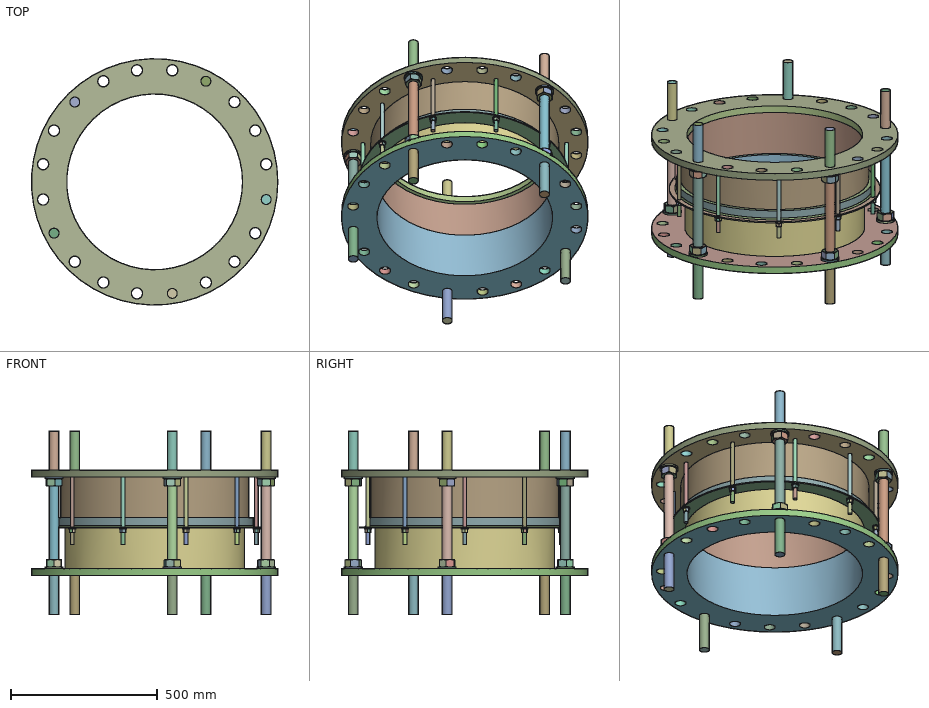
import cadquery as cq
import math


flange_diameter = 840.0
flange_thickness = 23.5
bore_diameter = 598.0
overall_length = 359.5
upper_flange_bottom = overall_length - flange_thickness
bolt_circle_radius = 385.0
bolt_hole_diameter = 37.0
bolt_hole_count = 20
bolt_hole_pitch = 360 / bolt_hole_count
first_bolt_hole_angle = bolt_hole_pitch / 2

lower_sleeve_diameter = 613.0
lower_sleeve_top = 184.0
upper_sleeve_diameter = 642.0
upper_sleeve_bore = 625.0

collar_diameter = 672.0
collar_top = 197.0
collar_bottom = 171.0
cone_diameter = 680.0
gland_diameter = 719.0
gland_top = 166.0
gland_bottom = 162.0

tie_rod_count = 5
first_tie_rod_angle = -first_bolt_hole_angle
tie_rod_diameter = 34.0
tie_rod_length = 625.0
tie_rod_bottom = (overall_length - tie_rod_length) / 2
tie_washer_diameter = 62.0
tie_washer_thickness = 6.0
tie_nut_width = 50.0
tie_nut_height = 25.0
lower_tie_nut_turn = 3.0
upper_tie_nut_turn = 9.0

stud_count = 10
stud_circle_radius = 347.0
stud_diameter = 13.5
stud_bottom = 106.0
stud_washer_diameter = 24.0
stud_washer_thickness = 3.0
stud_nut_width = 18.5
stud_nut_height = 13.0

nut_chamfer_angle = math.radians(30)


def cylinder(diameter, bottom, top):
    """Upright cylinder on the Z axis."""
    return cq.Workplane("XY").workplane(offset=bottom).circle(diameter / 2).extrude(top - bottom)


def place(body, radius, angle):
    """Move a body out along X, then swing it round the Z axis."""
    return body.translate((radius, 0, 0)).rotate((0, 0, 0), (0, 0, 1), angle)


def hex_nut(width, height, bottom, turn):
    """Solid hexagonal nut whose corners are chamfered at both ends."""
    corner_radius = width / math.sqrt(3)
    face_radius = width / 2
    drop = (corner_radius - face_radius) * math.tan(nut_chamfer_angle)
    envelope = (
        cq.Workplane("XZ")
        .moveTo(0, 0)
        .lineTo(face_radius, 0)
        .lineTo(corner_radius, drop)
        .lineTo(corner_radius, height - drop)
        .lineTo(face_radius, height)
        .lineTo(0, height)
        .close()
        .revolve(360, (0, 0), (0, 1))
    )
    hexagon = cq.Workplane("XY").polygon(6, 2 * corner_radius).extrude(height)
    nut = hexagon.rotate((0, 0, 0), (0, 0, 1), turn).intersect(envelope)
    return nut.translate((0, 0, bottom))


def make_body():
    """Flanges, sleeves, collar and gland as one revolved ring."""
    bore = bore_diameter / 2
    rim = flange_diameter / 2
    lower_sleeve = lower_sleeve_diameter / 2
    upper_sleeve = upper_sleeve_diameter / 2
    upper_bore = upper_sleeve_bore / 2
    profile = [
        (bore, 0),
        (rim, 0),
        (rim, flange_thickness),
        (lower_sleeve, flange_thickness),
        (lower_sleeve, gland_bottom),
        (gland_diameter / 2, gland_bottom),
        (gland_diameter / 2, gland_top),
        (cone_diameter / 2, gland_top),
        (collar_diameter / 2, collar_bottom),
        (collar_diameter / 2, collar_top),
        (upper_sleeve, collar_top),
        (upper_sleeve, upper_flange_bottom),
        (rim, upper_flange_bottom),
        (rim, overall_length),
        (bore, overall_length),
        (bore, upper_flange_bottom),
        (upper_bore, upper_flange_bottom),
        (upper_bore, lower_sleeve_top),
        (bore, lower_sleeve_top),
    ]
    return cq.Workplane("XZ").polyline(profile).close().revolve(360, (0, 0), (0, 1))


def make_bolt_holes():
    """Bolt holes through both flanges."""
    return (
        cq.Workplane("XY")
        .polarArray(bolt_circle_radius, first_bolt_hole_angle, 360, bolt_hole_count)
        .circle(bolt_hole_diameter / 2)
        .extrude(overall_length)
    )


def make_tie_rod():
    """Tie rod, a washer and nut inside each flange, and plugs that fill the bolt hole it passes through."""
    rod = cylinder(tie_rod_diameter, tie_rod_bottom, tie_rod_bottom + tie_rod_length)
    lower_washer_top = flange_thickness + tie_washer_thickness
    upper_washer_bottom = upper_flange_bottom - tie_washer_thickness
    upper_nut_bottom = upper_washer_bottom - tie_nut_height
    return (
        rod.union(cylinder(bolt_hole_diameter, 0, flange_thickness))
        .union(cylinder(bolt_hole_diameter, upper_flange_bottom, overall_length))
        .union(cylinder(tie_washer_diameter, flange_thickness, lower_washer_top))
        .union(cylinder(tie_washer_diameter, upper_washer_bottom, upper_flange_bottom))
        .union(hex_nut(tie_nut_width, tie_nut_height, lower_washer_top, lower_tie_nut_turn))
        .union(hex_nut(tie_nut_width, tie_nut_height, upper_nut_bottom, upper_tie_nut_turn))
    )


def make_stud():
    """Gland stud hanging from the upper flange, with a washer and nut under the gland ring."""
    washer_bottom = gland_bottom - stud_washer_thickness
    nut_bottom = washer_bottom - stud_nut_height
    return (
        cylinder(stud_diameter, stud_bottom, upper_flange_bottom)
        .union(cylinder(stud_washer_diameter, washer_bottom, gland_bottom))
        .union(hex_nut(stud_nut_width, stud_nut_height, nut_bottom, 0))
    )


result = make_body().cut(make_bolt_holes())

tie_rod = make_tie_rod()
for index in range(tie_rod_count):
    angle = first_tie_rod_angle + index * 360 / tie_rod_count
    result = result.union(place(tie_rod, bolt_circle_radius, angle))

stud = make_stud()
for index in range(stud_count):
    result = result.union(place(stud, stud_circle_radius, index * 360 / stud_count))